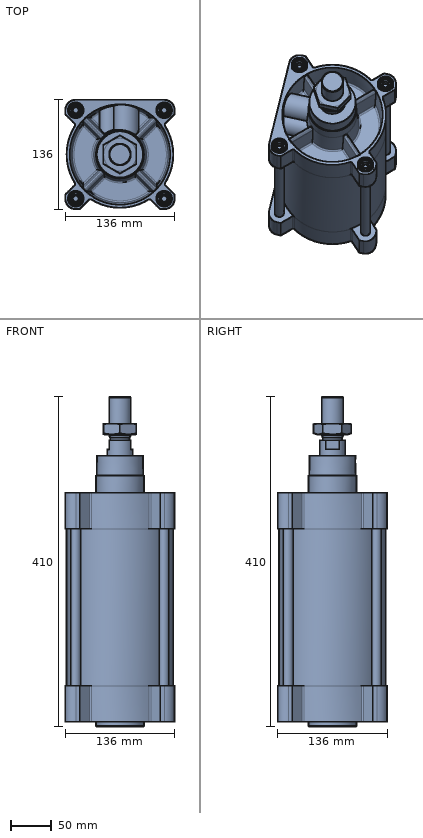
import cadquery as cq
import math

barrel_diameter = 133.0
half_side = 68.0
tie_rod_offset = 55.0
tie_rod_diameter = 12.0
cap_height = 45.0
rear_cap_bottom = 6.0
front_cap_top = 291.0
ear_tip_length = 5.0
ear_root_radius = 2.0

boss_diameter = 60.0
rear_boss_chamfer = 1.2
boss_step_z = 313.2
boss_step_chamfer = 1.2
nose_base_diameter = 58.2
nose_tip_diameter = 57.5
nose_top = 337.0

pocket_diameter = 125.0
pocket_depth = 37.0
draft_angle = 5.0
floor_fillet = 2.0
rib_top_width = 5.0
rib_crest_fillet = 2.0
rib_drop = 2.5
port_boss_radius = 15.5
port_boss_x = 7.8
screw_boss_radius = 12.7
screw_boss_x = -12.7
screw_boss_drop = 20.5

counterbore_diameter = 19.5
counterbore_depth = 4.5
tie_nut_diameter = 18.0
tie_nut_chamfer = 1.2
tie_nut_recess = 0.5
tie_nut_hole_diameter = 7.5
tie_nut_hole_chamfer = 2.0
tie_nut_hole_depth = 10.2

rod_diameter = 32.0
rod_flat_width = 27.0
rod_flat_bottom = 345.0
rod_shoulder_z = 356.3
groove_diameter = 24.0
groove_height = 3.0
thread_runout = 3.3
thread_diameter = 27.0
thread_tip_chamfer = 1.0
rod_top = 410.0

nut_width = 41.0
nut_bottom = 363.3
nut_top = 376.8
nut_bottom_face_diameter = 37.7
nut_top_face_diameter = 41.0
nut_bottom_chamfer = 1.5
nut_top_chamfer = 0.6

barrel_radius = barrel_diameter / 2
front_cap_bottom = front_cap_top - cap_height
rear_cap_top = rear_cap_bottom + cap_height
ear_radius = half_side - tie_rod_offset
ear_tip = tie_rod_offset - ear_tip_length
pocket_floor = front_cap_top - pocket_depth
draft_offset = pocket_depth * math.tan(math.radians(draft_angle))
rod_bottom = front_cap_bottom
corner_angles = (45, 135, 225, 315)


def cylinder(diameter, bottom, top):
    return cq.Workplane("XY").workplane(offset=bottom).circle(diameter / 2).extrude(top - bottom)


def cone(bottom_diameter, top_diameter, bottom, top):
    return (
        cq.Workplane("XY").workplane(offset=bottom).circle(bottom_diameter / 2)
        .workplane(offset=top - bottom).circle(top_diameter / 2)
        .loft()
    )


def at_tie_rods(shape):
    """Four copies of a shape that stands on the axis, one at each tie rod."""
    copies = cq.Workplane("XY")
    for x in (-tie_rod_offset, tie_rod_offset):
        for y in (-tie_rod_offset, tie_rod_offset):
            copies = copies.add(shape.val().translate(cq.Vector(x, y, 0)))
    return copies.combine()


def ear(bottom):
    """Ear in the +X +Y corner: round at the corner, with 45 degree sides."""
    arc_middle = tie_rod_offset + ear_radius * math.sqrt(0.5)
    inner = half_side - ear_tip
    return (
        cq.Workplane("XY").workplane(offset=bottom)
        .moveTo(inner, 0)
        .lineTo(half_side, ear_tip)
        .lineTo(half_side, tie_rod_offset)
        .threePointArc((arc_middle, arc_middle), (tie_rod_offset, half_side))
        .lineTo(ear_tip, half_side)
        .lineTo(0, inner)
        .close()
        .extrude(cap_height)
    )


def cap_blank(bottom):
    """Round cap with four ears and a flat port side at +Y."""
    body = cylinder(barrel_diameter, bottom, bottom + cap_height)
    for angle in (0, 90, 180, 270):
        body = body.union(ear(bottom).rotate((0, 0, 0), (0, 0, 1), angle))
    port_side = (
        cq.Workplane("XY").workplane(offset=bottom)
        .center(0, half_side / 2)
        .rect(2 * tie_rod_offset, half_side)
        .extrude(cap_height)
    )
    body = body.union(port_side)
    inner = half_side - ear_tip
    near = (math.sqrt(2 * barrel_radius**2 - inner**2) - inner) / 2
    far = near + inner
    roots = [(side * near, -far) for side in (-1, 1)]
    roots += [(side * far, height) for side in (-1, 1) for height in (-near, near)]
    for x, y in roots:
        root = cq.selectors.NearestToPointSelector((x, y, bottom + cap_height / 2))
        body = body.edges(root).fillet(ear_root_radius)
    return body


def tapered_rib(angle):
    """Rib from the axis to the pocket wall, with drafted sides and a rounded crest."""
    crest = front_cap_top - rib_drop
    top_half = rib_top_width / 2
    base_half = top_half + (crest - pocket_floor) * math.tan(math.radians(draft_angle))
    return (
        cq.Workplane("YZ")
        .polyline([
            (-base_half, pocket_floor), (base_half, pocket_floor), (top_half, crest), (-top_half, crest)
        ])
        .close()
        .extrude(barrel_radius)
        .faces(">Z").edges("|X").fillet(rib_crest_fillet)
        .rotate((0, 0, 0), (0, 0, 1), angle)
    )


def port_side_boss(x, radius, z):
    """Round boss along Y, from the axis to the port side."""
    return cq.Workplane("XZ").center(x, z).circle(radius).extrude(-half_side)


def front_pocket():
    """Ring-shaped recess of the front cap, less the centre boss and the ribs that stand in it."""
    recess = cone(pocket_diameter - 2 * draft_offset, pocket_diameter, pocket_floor, front_cap_top)
    recess = recess.cut(cone(boss_diameter + 2 * draft_offset, boss_diameter, pocket_floor, front_cap_top))
    for angle in corner_angles:
        recess = recess.cut(tapered_rib(angle))
    return recess.faces("<Z").edges().fillet(floor_fillet)


def port_side_bosses():
    """Port boss at half the cap height, and the lower screw boss beside it."""
    port_boss_z = front_cap_top - cap_height / 2
    screw_boss_z = front_cap_top - screw_boss_drop - screw_boss_radius
    port_boss = port_side_boss(port_boss_x, port_boss_radius, port_boss_z)
    screw_boss = port_side_boss(screw_boss_x, screw_boss_radius, screw_boss_z)
    return port_boss.union(screw_boss).intersect(cylinder(barrel_diameter, front_cap_bottom, front_cap_top))


def tie_nut_recess_cut():
    """Counterbore around one sunk tie rod nut, with the nut's hole."""
    counterbore = cylinder(counterbore_diameter, front_cap_top - counterbore_depth, front_cap_top)
    nut_face = front_cap_top - tie_nut_recess
    nut = cylinder(tie_nut_diameter, front_cap_top - counterbore_depth, nut_face)
    nut = nut.faces(">Z").chamfer(tie_nut_chamfer)
    hole = cylinder(tie_nut_hole_diameter, nut_face - tie_nut_hole_depth, nut_face)
    hole = hole.union(
        cone(
            tie_nut_hole_diameter, tie_nut_hole_diameter + 2 * tie_nut_hole_chamfer,
            nut_face - tie_nut_hole_chamfer, nut_face,
        )
    )
    return counterbore.cut(nut).union(hole)


def make_housing():
    rear_boss = cylinder(boss_diameter, 0, rear_cap_bottom).faces("<Z").chamfer(rear_boss_chamfer)
    tie_rods = at_tie_rods(cylinder(tie_rod_diameter, rear_cap_top, front_cap_bottom))
    body = cap_blank(front_cap_bottom).cut(front_pocket()).union(port_side_bosses())
    body = body.cut(at_tie_rods(tie_nut_recess_cut()))
    front_boss = cylinder(boss_diameter, front_cap_bottom, boss_step_z).faces(">Z").chamfer(boss_step_chamfer)
    nose = cone(nose_base_diameter, nose_tip_diameter, boss_step_z - boss_step_chamfer, nose_top)
    body = body.union(front_boss).union(nose)
    body = body.union(cap_blank(rear_cap_bottom)).union(rear_boss).union(tie_rods)
    body = body.union(cylinder(barrel_diameter, rear_cap_top, front_cap_bottom), clean=False)
    return body.cut(cylinder(rod_diameter, rod_bottom, nose_top), clean=False)


def make_piston_rod():
    groove_top = rod_shoulder_z + groove_height
    thread_start = groove_top + thread_runout
    thread = cylinder(thread_diameter, thread_start, rod_top).faces(">Z").chamfer(thread_tip_chamfer)
    shank = cylinder(rod_diameter, rod_bottom, rod_shoulder_z)
    flat_height = rod_shoulder_z - rod_flat_bottom
    flats = (
        cq.Workplane("XY").workplane(offset=rod_flat_bottom)
        .rect(2 * rod_diameter, 2 * rod_diameter)
        .rect(rod_flat_width, 2 * rod_diameter)
        .extrude(flat_height)
    )
    return (
        shank.cut(flats)
        .union(cylinder(groove_diameter, rod_shoulder_z, groove_top))
        .union(cone(groove_diameter, thread_diameter, groove_top, thread_start))
        .union(thread)
    )


def make_nut():
    corner_diameter = nut_width / math.cos(math.radians(30))
    lower_corner = nut_bottom + nut_bottom_chamfer
    upper_corner = nut_top - nut_top_chamfer
    hexagon = (
        cq.Workplane("XY").workplane(offset=nut_bottom)
        .polygon(6, corner_diameter).extrude(nut_top - nut_bottom)
        .rotate((0, 0, 0), (0, 0, 1), 30)
    )
    turned = (
        cone(nut_bottom_face_diameter, corner_diameter, nut_bottom, lower_corner)
        .union(cylinder(corner_diameter, lower_corner, upper_corner))
        .union(cone(corner_diameter, nut_top_face_diameter, upper_corner, nut_top))
    )
    return hexagon.intersect(turned).cut(cylinder(thread_diameter, nut_bottom, nut_top))


housing = make_housing()
piston_rod = make_piston_rod()
nut = make_nut()

result = cq.Compound.makeCompound([housing.val(), piston_rod.val(), nut.val()])